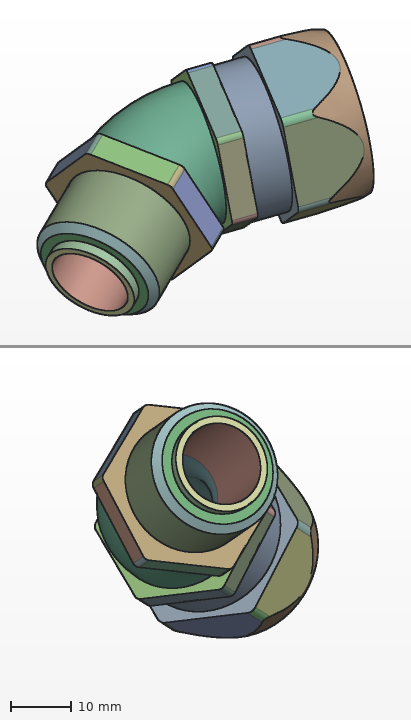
import cadquery as cq
import math

bend_angle = 45.0
bend_radius = 17.7
elbow_diameter = 24.6
bore_diameter = 13.9

spigot_diameter = 16.3
spigot_length = 1.8
thread_diameter = 22.5
thread_length = 13.0
thread_chamfer = 1.4

collar_flats = 26.8
collar_thickness = 4.55
collar_corner_radius = 1.2

neck_diameter = 26.75
nut_offset = 11.25
nut_flats = 29.0
nut_corner_radius = 1.6
nut_length = 14.05
nut_end_diameter = 28.3
nut_taper_angle = 15.0

collar_start = spigot_length + thread_length
bend_start = collar_start + collar_thickness
bend_end = (
    bend_radius * (1 - math.cos(math.radians(bend_angle))),
    bend_start + bend_radius * math.sin(math.radians(bend_angle)),
    0,
)
outlet_direction = (math.sin(math.radians(bend_angle)), math.cos(math.radians(bend_angle)), 0)

inlet_plane = cq.Plane(origin=(0, 0, 0), xDir=(1, 0, 0), normal=(0, 1, 0))
outlet_plane = cq.Plane(
    origin=bend_end,
    xDir=(outlet_direction[1], -outlet_direction[0], 0),
    normal=outlet_direction,
)


def cylinder(plane, start, length, diameter):
    """Cylinder along the plane normal, starting at the given distance."""
    return cq.Workplane(plane).workplane(offset=start).circle(diameter / 2).extrude(length)


def hexagon(plane, start, length, flats, corner_radius):
    """Hexagonal prism with rounded corners and two flats facing +Z and -Z."""
    corner_diameter = flats / math.cos(math.radians(30))
    prism = cq.Workplane(plane).workplane(offset=start).polygon(6, corner_diameter).extrude(length)
    side_edges = cq.selectors.ParallelDirSelector(plane.zDir)
    return prism.edges(side_edges).fillet(corner_radius)


def bend(diameter):
    """Round bar swept around the bend, whose centre lies on the +X side."""
    return (
        cq.Workplane("XZ", origin=(0, bend_start, 0))
        .circle(diameter / 2)
        .revolve(bend_angle, (bend_radius, 0, 0), (bend_radius, -1, 0))
    )


def nut():
    """Hexagonal nut whose corners are cut back by a cone towards the outlet face."""
    end_radius = nut_end_diameter / 2
    base_radius = end_radius + nut_length * math.tan(math.radians(nut_taper_angle))
    cone = (
        cq.Workplane(outlet_plane)
        .workplane(offset=nut_offset)
        .circle(base_radius)
        .workplane(offset=nut_length)
        .circle(end_radius)
        .loft()
    )
    return hexagon(outlet_plane, nut_offset, nut_length, nut_flats, nut_corner_radius).intersect(cone)


spigot = cylinder(inlet_plane, 0, spigot_length, spigot_diameter)
thread = cylinder(inlet_plane, spigot_length, thread_length, thread_diameter)
thread = thread.faces("<Y").chamfer(thread_chamfer)
inlet_collar = hexagon(inlet_plane, collar_start, collar_thickness, collar_flats, collar_corner_radius)

outlet_collar = hexagon(outlet_plane, 0, collar_thickness, collar_flats, collar_corner_radius)
neck = cylinder(outlet_plane, collar_thickness, nut_offset - collar_thickness, neck_diameter)

body = spigot.union(thread).union(inlet_collar).union(bend(elbow_diameter))
body = body.union(outlet_collar).union(neck).union(nut())

body = body.cut(cylinder(inlet_plane, 0, bend_start, bore_diameter))
body = body.cut(bend(bore_diameter))
result = body.cut(cylinder(outlet_plane, 0, nut_offset + nut_length, bore_diameter))